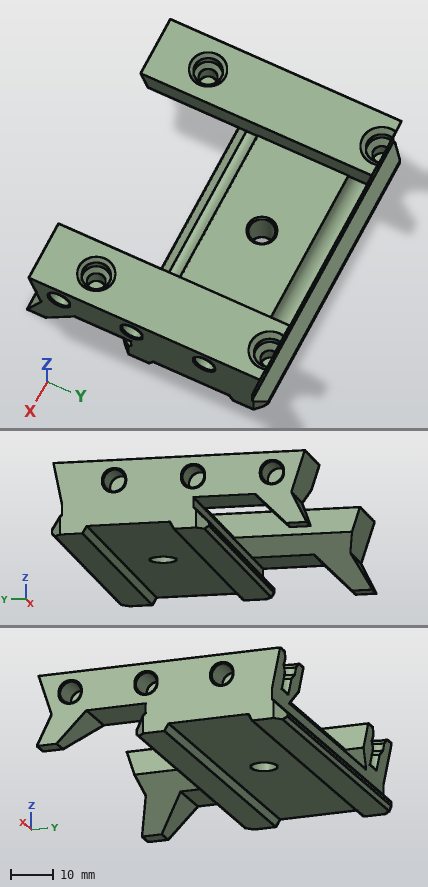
import cadquery as cq

LENGTH = 76.0
HEIGHT = 17.5
BAR_WIDTH = 15.95
BAR_TOP_BACK_Y = 18.2
BAR_TOP_FRONT_Y = -42.9
WAIST_BACK_Y = 16.1
WAIST_FRONT_Y = -39.6
WAIST_Z = 7.45
FOOT_TIP_FRONT_Y = -43.3
FOOT_TIP_BACK_Y = -38.3
FOOT_ROOT_BACK_Y = -30.8
FOOT_TIP_WIDTH = 4.4

PLATE_HALF = 19.1
PLATE_TOP = 11.85
FLANGE_EDGE_BOTTOM = 0.9
FLANGE_EDGE_TOP = 1.8
BACK_ROOT_Y = WAIST_BACK_Y
FRONT_ROOT_Y = -15.8
CORNER_CUT = 2.6
LAND_HALF = 12.0
FRONT_GROOVE_RADIUS = -FRONT_ROOT_Y - LAND_HALF
BACK_GROOVE_RADIUS = 3.2
RECESS_DEPTH = 1.75
RECESS_FLOOR_HALF = 10.0
RECESS_MOUTH_HALF = 11.1

CENTRE_HOLE_DIAMETER = 6.4
CENTRE_SINK_DIAMETER = 7.3
SIDE_HOLE_DIAMETER = 5.3
SIDE_SINK_DIAMETER = 5.9
SIDE_HOLE_DEPTH = 7.6
SIDE_HOLE_Z = 12.55
SIDE_HOLE_MIDDLE_Y = -15.7
SIDE_HOLE_SPACING = 19.15
SCREW_X = (LENGTH - BAR_WIDTH) / 2
FRONT_SCREW_Y = -28.95
BACK_SCREW_Y = 16.9
FRONT_SINK_DIAMETER = 9.05
FRONT_COUNTERBORE_DIAMETER = 7.0
BACK_SINK_DIAMETER = 10.1
BACK_COUNTERBORE_DIAMETER = 7.5
COUNTERBORE_FLOOR_Z = 14.45
SCREW_BORE_DIAMETER = 4.5
SCREW_BORE_FLOOR_Z = 9.1


def flange_slope_z(y):
    """Height of the 45 degree flange top at a distance y from the plate centre."""
    return FLANGE_EDGE_TOP + PLATE_HALF - abs(y)


def make_bars():
    side = (
        cq.Workplane("YZ")
        .polyline([
            (BAR_TOP_BACK_Y, HEIGHT),
            (WAIST_BACK_Y, WAIST_Z),
            (WAIST_BACK_Y, 0),
            (RECESS_MOUTH_HALF, 0),
            (RECESS_FLOOR_HALF, RECESS_DEPTH),
            (-RECESS_FLOOR_HALF, RECESS_DEPTH),
            (-RECESS_MOUTH_HALF, 0),
            (FRONT_ROOT_Y, 0),
            (FRONT_ROOT_Y, WAIST_Z),
            (FOOT_ROOT_BACK_Y, WAIST_Z),
            (FOOT_TIP_BACK_Y, 0),
            (FOOT_TIP_FRONT_Y, 0),
            (WAIST_FRONT_Y, WAIST_Z),
            (BAR_TOP_FRONT_Y, HEIGHT),
        ])
        .close()
        .extrude(LENGTH / 2, both=True)
    )
    upper_half = LENGTH / 2 - BAR_WIDTH
    lower_half = LENGTH / 2 - FOOT_TIP_WIDTH
    dovetail_top = lower_half - upper_half
    gap = (
        cq.Workplane("XZ")
        .polyline([
            (-lower_half, 0),
            (lower_half, 0),
            (upper_half, dovetail_top),
            (upper_half, HEIGHT),
            (-upper_half, HEIGHT),
            (-upper_half, dovetail_top),
        ])
        .close()
        .extrude(LENGTH, both=True)
    )
    return side.cut(gap)


def make_plate():
    foot_half = PLATE_HALF - FLANGE_EDGE_BOTTOM
    back_arc_end_y = LAND_HALF + BACK_GROOVE_RADIUS
    plate = (
        cq.Workplane("YZ")
        .moveTo(-LAND_HALF, PLATE_TOP)
        .lineTo(LAND_HALF, PLATE_TOP)
        .lineTo(LAND_HALF, WAIST_Z + BACK_GROOVE_RADIUS)
        .radiusArc((back_arc_end_y, WAIST_Z), -BACK_GROOVE_RADIUS)
        .lineTo(BACK_ROOT_Y, WAIST_Z)
        .lineTo(BACK_ROOT_Y, flange_slope_z(BACK_ROOT_Y))
        .lineTo(PLATE_HALF, FLANGE_EDGE_TOP)
        .lineTo(PLATE_HALF, FLANGE_EDGE_BOTTOM)
        .lineTo(foot_half, 0)
        .lineTo(RECESS_MOUTH_HALF, 0)
        .lineTo(RECESS_FLOOR_HALF, RECESS_DEPTH)
        .lineTo(-RECESS_FLOOR_HALF, RECESS_DEPTH)
        .lineTo(-RECESS_MOUTH_HALF, 0)
        .lineTo(-foot_half, 0)
        .lineTo(-PLATE_HALF, FLANGE_EDGE_BOTTOM)
        .lineTo(-PLATE_HALF, FLANGE_EDGE_TOP)
        .lineTo(FRONT_ROOT_Y, flange_slope_z(FRONT_ROOT_Y))
        .lineTo(FRONT_ROOT_Y, WAIST_Z)
        .radiusArc((-LAND_HALF, WAIST_Z + FRONT_GROOVE_RADIUS), -FRONT_GROOVE_RADIUS)
        .close()
        .extrude(LENGTH / 2, both=True)
    )
    clipped_corners = (
        cq.Workplane("XY")
        .rect(LENGTH, 2 * PLATE_HALF)
        .extrude(HEIGHT)
        .edges("|Z")
        .chamfer(CORNER_CUT)
    )
    return plate.intersect(clipped_corners)


def centre_hole():
    """Through hole with a 45 degree chamfer at the plate top."""
    radius = CENTRE_HOLE_DIAMETER / 2
    sink_radius = CENTRE_SINK_DIAMETER / 2
    return (
        cq.Workplane("XZ")
        .polyline([
            (0, 0),
            (radius, 0),
            (radius, PLATE_TOP - (sink_radius - radius)),
            (sink_radius, PLATE_TOP),
            (0, PLATE_TOP),
        ])
        .close()
        .revolve(360, (0, 0), (0, 1))
    )


def screw_hole(sink_diameter, counterbore_diameter):
    """Stepped blind hole: 45 degree sink, counterbore, 45 degree shoulder and bore."""
    sink = sink_diameter / 2
    counterbore = counterbore_diameter / 2
    bore = SCREW_BORE_DIAMETER / 2
    return (
        cq.Workplane("XZ")
        .polyline([
            (0, SCREW_BORE_FLOOR_Z),
            (bore, SCREW_BORE_FLOOR_Z),
            (bore, COUNTERBORE_FLOOR_Z - (counterbore - bore)),
            (counterbore, COUNTERBORE_FLOOR_Z),
            (counterbore, HEIGHT - (sink - counterbore)),
            (sink, HEIGHT),
            (0, HEIGHT),
        ])
        .close()
        .revolve(360, (0, 0), (0, 1))
    )


def side_hole():
    """Blind hole entering the -X end face along +X, with a chamfered mouth."""
    radius = SIDE_HOLE_DIAMETER / 2
    mouth = SIDE_SINK_DIAMETER / 2
    outer_x = -LENGTH / 2
    return (
        cq.Workplane("XY")
        .polyline([
            (outer_x, 0),
            (outer_x, mouth),
            (outer_x + mouth - radius, radius),
            (outer_x + SIDE_HOLE_DEPTH, radius),
            (outer_x + SIDE_HOLE_DEPTH, 0),
        ])
        .close()
        .revolve(360, (0, 0), (1, 0))
    )


result = make_bars().union(make_plate()).cut(centre_hole())

front_screw = screw_hole(FRONT_SINK_DIAMETER, FRONT_COUNTERBORE_DIAMETER)
back_screw = screw_hole(BACK_SINK_DIAMETER, BACK_COUNTERBORE_DIAMETER)
for x in (-SCREW_X, SCREW_X):
    result = result.cut(front_screw.translate((x, FRONT_SCREW_Y, 0)))
    result = result.cut(back_screw.translate((x, BACK_SCREW_Y, 0)))

for step in (-1, 0, 1):
    y = SIDE_HOLE_MIDDLE_Y + step * SIDE_HOLE_SPACING
    hole = side_hole().translate((0, y, SIDE_HOLE_Z))
    result = result.cut(hole).cut(hole.mirror("YZ"))